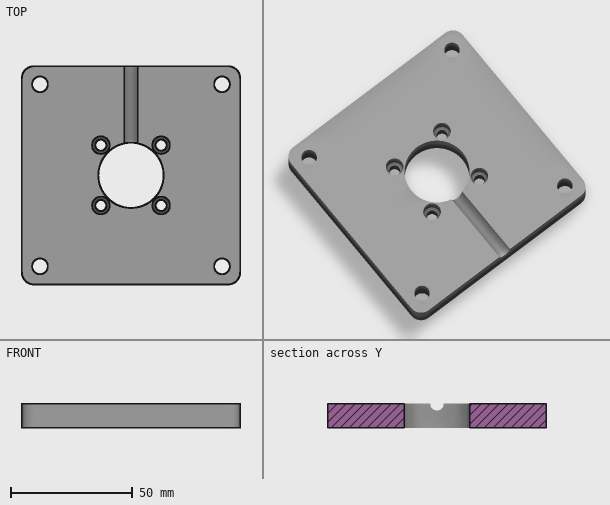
import cadquery as cq

side = 90.0
thickness = 10.0
corner_radius = 5.0

bore_diameter = 26.8
corner_hole_diameter = 6.4
corner_hole_spacing = 75.0
screw_hole_diameter = 4.5
screw_head_diameter = 7.3
screw_head_depth = 5.0
screw_spacing = 24.8

channel_radius = 2.8

plate = cq.Workplane("XY").box(side, side, thickness, centered=(True, True, False))
plate = plate.edges("|Z").fillet(corner_radius)

plate = plate.faces(">Z").workplane(origin=(0, 0, 0)).hole(bore_diameter)

plate = (
    plate.faces(">Z").workplane(origin=(0, 0, 0))
    .rect(corner_hole_spacing, corner_hole_spacing, forConstruction=True)
    .vertices()
    .hole(corner_hole_diameter)
)

plate = (
    plate.faces(">Z").workplane(origin=(0, 0, 0))
    .rect(screw_spacing, screw_spacing, forConstruction=True)
    .vertices()
    .cboreHole(screw_hole_diameter, screw_head_diameter, screw_head_depth)
)

channel = (
    cq.Workplane("XZ")
    .center(0, thickness)
    .circle(channel_radius)
    .extrude(-side / 2)
)

result = plate.cut(channel)